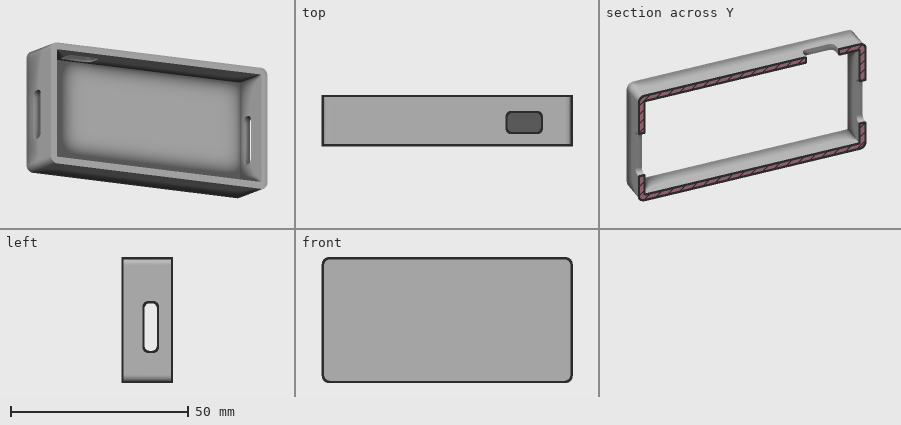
import cadquery as cq

length = 70.3
depth = 14.0
height = 35.0
corner_radius = 2.0

wall = 2.0

window_length = 10.0
window_depth = 6.0
window_radius = 1.5
window_x = 21.7
window_y = -0.55

slot_width = 4.0
slot_height = 14.0
slot_radius = 1.5
slot_y = -1.0
slot_z = -2.0


def make_shell():
    """Box with rounded upright corners, with a square-cornered cavity open at the back face."""
    body = cq.Workplane("XY").box(length, depth, height).edges("|Y").fillet(corner_radius)
    cavity = cq.Workplane("XY").box(length - 2 * wall, depth, height - 2 * wall)
    return body.cut(cavity.translate((0, wall, 0)))


def make_window():
    """Cutter that passes only through the top wall."""
    cutter = cq.Workplane("XY").box(window_length, window_depth, 2 * wall)
    cutter = cutter.edges("|Z").fillet(window_radius)
    return cutter.translate((window_x, window_y, height / 2))


def make_end_slots():
    """Cutter that runs the full length and opens both end walls."""
    cutter = cq.Workplane("XY").box(length + 2 * wall, slot_width, slot_height)
    cutter = cutter.edges("|X").fillet(slot_radius)
    return cutter.translate((0, slot_y, slot_z))


result = make_shell().cut(make_window()).cut(make_end_slots())